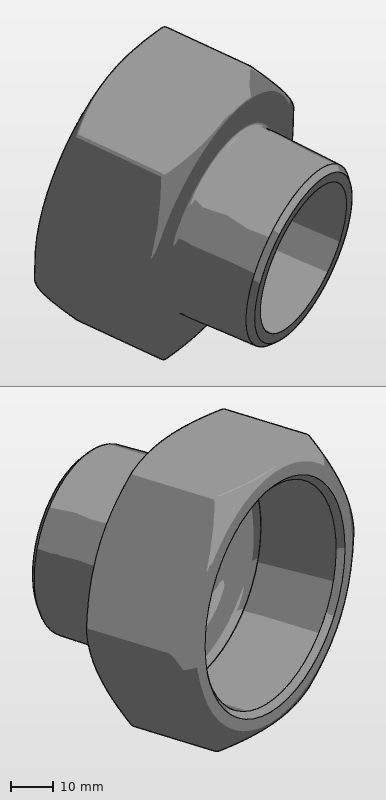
import cadquery as cq
import math

across_flats = 68.0
hex_length = 31.0
hex_edge_radius = 2.0
crown_angle = 30.0
crown_face_radius = 33.0
crown_edge_radius = 1.0

total_length = 54.0
spigot_diameter = 48.2
straight_length = 3.8
taper = 1 / 16
spigot_chamfer = 1.5
neck_radius = 0.8

socket_diameter = 56.66
socket_depth = 25.0
relief_diameter = 56.86
relief_width = 2.2
mouth_chamfer = 1.5
floor_fillet = 0.7
bore_diameter = 39.0
bore_edge_radius = 2.0


def hexagon():
    """Hexagonal prism with flats facing +Z and -Z and rounded long edges."""
    across_corners = across_flats / math.cos(math.pi / 6)
    prism = cq.Workplane("YZ").polygon(6, across_corners).extrude(hex_length)
    return prism.edges("|X").fillet(hex_edge_radius)


def crowned(body):
    """Cut both ends of the hexagon to shallow cones and round the resulting edges."""
    outer_radius = across_flats
    cone_depth = (outer_radius - crown_face_radius) * math.tan(math.radians(crown_angle))
    envelope = (
        cq.Workplane("XZ")
        .moveTo(0, 0)
        .lineTo(0, crown_face_radius)
        .lineTo(cone_depth, outer_radius)
        .lineTo(hex_length, outer_radius)
        .lineTo(hex_length, 0)
        .close()
        .revolve(360, (0, 0, 0), (1, 0, 0))
    )
    mirrored = envelope.mirror("YZ").translate((hex_length, 0, 0))
    crowned_body = body.intersect(envelope).intersect(mirrored)
    return crowned_body.edges("not |X").fillet(crown_edge_radius)


def spigot():
    """Solid spigot: a straight stretch, a tapered stretch, an end chamfer and a filleted neck."""
    radius = spigot_diameter / 2
    taper_start = hex_length + straight_length
    chamfer_start = total_length - spigot_chamfer
    tip_radius = radius - (chamfer_start - taper_start) * taper / 2
    root = (hex_length + socket_depth) / 2
    return (
        cq.Workplane("XZ")
        .moveTo(root, 0)
        .lineTo(root, radius + neck_radius)
        .lineTo(hex_length, radius + neck_radius)
        .radiusArc((hex_length + neck_radius, radius), -neck_radius)
        .lineTo(taper_start, radius)
        .lineTo(chamfer_start, tip_radius)
        .lineTo(total_length, tip_radius - spigot_chamfer)
        .lineTo(total_length, 0)
        .close()
        .revolve(360, (0, 0, 0), (1, 0, 0))
    )


def cavity():
    """Socket with chamfered mouth and filleted floor, plus the bore with a rounded inlet."""
    socket_radius = socket_diameter / 2
    relief_radius = relief_diameter / 2
    relief_start = socket_depth - relief_width
    bore_radius = bore_diameter / 2
    return (
        cq.Workplane("XZ")
        .moveTo(0, 0)
        .lineTo(0, socket_radius + mouth_chamfer)
        .lineTo(mouth_chamfer, socket_radius)
        .lineTo(relief_start, socket_radius)
        .lineTo(relief_start, relief_radius)
        .lineTo(socket_depth - floor_fillet, relief_radius)
        .radiusArc((socket_depth, relief_radius - floor_fillet), floor_fillet)
        .lineTo(socket_depth, bore_radius + bore_edge_radius)
        .radiusArc((socket_depth + bore_edge_radius, bore_radius), -bore_edge_radius)
        .lineTo(total_length, bore_radius)
        .lineTo(total_length, 0)
        .close()
        .revolve(360, (0, 0, 0), (1, 0, 0))
    )


result = crowned(hexagon()).union(spigot()).cut(cavity())